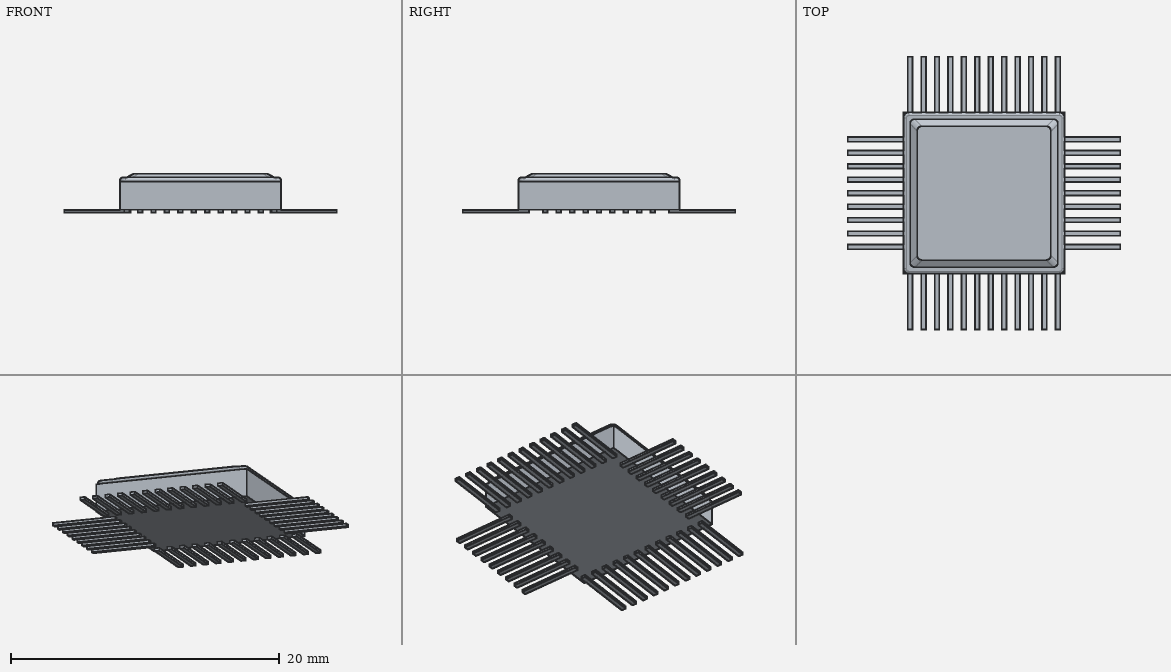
import cadquery as cq

lead_span = 20.3
total_height = 2.9
package_side = 12.0

lead_width = 0.37
lead_thickness = 0.2
lead_length = 4.95
end_row_count = 12
end_row_spread = 10.98
side_row_count = 9
side_row_spread = 8.0

plate_thickness = 0.3
plate_corner_radius = 0.4
plate_edge_radius = 0.2

cap_height = 0.28
cap_base_side = 11.0
cap_slope_run = 0.53
cap_corner_radius = 0.35
cap_top_side = cap_base_side - 2 * cap_slope_run

housing_bottom = lead_thickness
cap_bottom = total_height - cap_height
plate_bottom = cap_bottom - plate_thickness


def lead_row(count, spread, turn):
    """One row of flat leads pointing along +Y, then turned about Z by `turn` degrees."""
    row_centre = (lead_span - lead_length) / 2
    pitch = spread / (count - 1)
    return (
        cq.Workplane("XY")
        .center(0, row_centre)
        .rarray(pitch, 0.2, count, 1)
        .rect(lead_width, lead_length)
        .extrude(lead_thickness)
        .rotate((0, 0, 0), (0, 0, 1), turn)
    )


def make_housing():
    """Square block with four rows of leads joined to its underside."""
    housing = (
        cq.Workplane("XY", origin=(0, 0, housing_bottom))
        .rect(package_side, package_side)
        .extrude(plate_bottom - housing_bottom)
    )
    for turn in (0, 180):
        housing = housing.union(lead_row(end_row_count, end_row_spread, turn))
    for turn in (90, 270):
        housing = housing.union(lead_row(side_row_count, side_row_spread, turn))
    return housing


def make_seal_plate():
    """Flat plate covering the housing, with round corners and a round upper edge."""
    return (
        cq.Workplane("XY", origin=(0, 0, plate_bottom))
        .rect(package_side, package_side)
        .extrude(plate_thickness)
        .edges("|Z")
        .fillet(plate_corner_radius)
        .faces(">Z")
        .edges()
        .fillet(plate_edge_radius)
    )


def cap_outline(side):
    """Square with rounded corners, the same corner radius at the base and the top of the cap."""
    return cq.Sketch().rect(side, side).vertices().fillet(cap_corner_radius)


def make_cap():
    """Low four-sided frustum on the seal plate, with rounded corners."""
    return (
        cq.Workplane("XY", origin=(0, 0, cap_bottom))
        .placeSketch(
            cap_outline(cap_base_side),
            cap_outline(cap_top_side).moved(cq.Location(cq.Vector(0, 0, cap_height))),
        )
        .loft(ruled=True)
    )


housing = make_housing()
seal_plate = make_seal_plate()
cap = make_cap()

result = cq.Compound.makeCompound([housing.val(), seal_plate.val(), cap.val()])